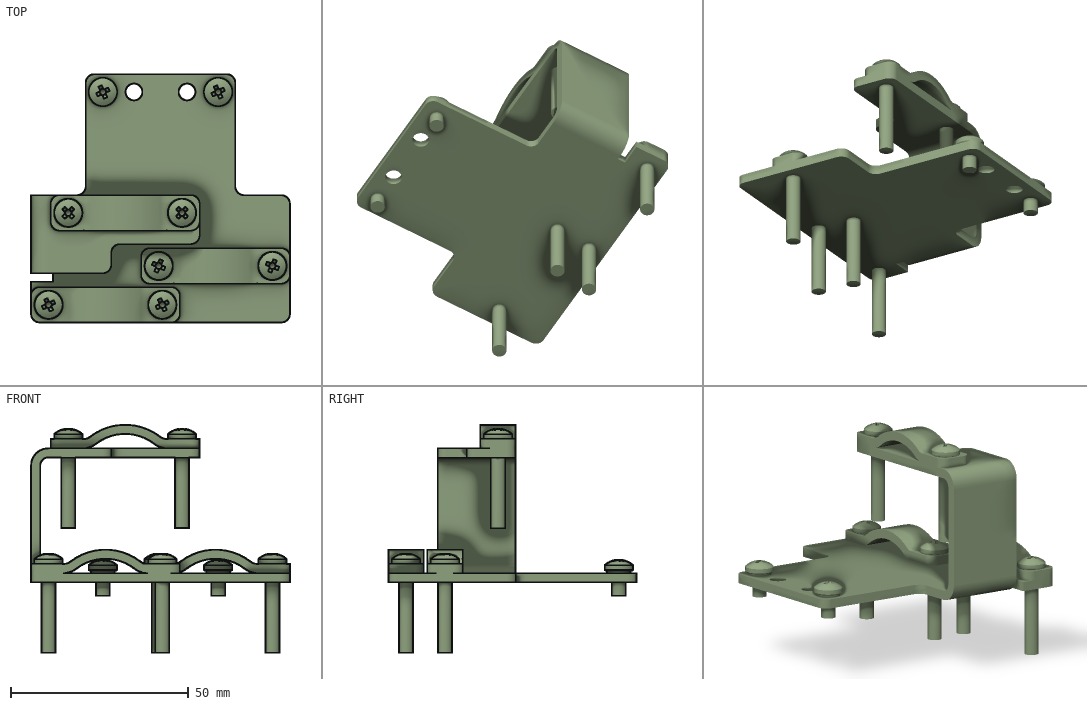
import cadquery as cq
import math

THICKNESS = 2.6
CORNER_R = 2.5
BEND_R = 4.9
BASE_LENGTH = 73.0
BASE_DEPTH = 35.9
TAB_WIDTH = 42.2
TOTAL_DEPTH = 70.0
UPRIGHT_Y = 13.9
UPPER_TOP = 37.8
UPPER_LENGTH = 47.5
UPPER_STEP_X = 22.6
UPPER_STEP_Y = 22.1
SLOT_Y = 11.5
SLOT_LENGTH = 6.2

REAR_ROW_Y = 65.0
REAR_SCREW_SPACING = 32.5
REAR_HOLE_SPACING = 15.0
REAR_HOLE_D = 4.7

CLAMP_LENGTH = 42.0
CLAMP_WIDTH = 10.0
PAD_LENGTH = 9.3
ARCH_RISE = 6.65
FOOT_R = 3.1
CLAMP_SCREW_INSET = 5.0

SHANK_D = 4.0
COLLAR_D = 6.7
COLLAR_HEIGHT = 0.65
HEAD_D = 8.0
HEAD_EDGE = 0.3
DOME_BASE = 2.5
HEAD_TOP = 3.8
HEAD_SINK = 0.9
LONG_SHANK = 24.2
SHORT_SHANK = 6.4

ARM_WIDTH = 1.0
ARM_REACH = 2.1
PIT_R = 0.9
ARM_DEPTH = 1.45
PIT_DEPTH = 2.05


def base_plate():
    mid_x = BASE_LENGTH / 2
    plate = (
        cq.Workplane("XY")
        .rect(BASE_LENGTH, BASE_DEPTH, centered=False)
        .extrude(THICKNESS)
        .edges("|Z").edges(">X or (<X and <Y)").fillet(CORNER_R)
    )
    tab = (
        cq.Workplane("XY")
        .center(mid_x, TOTAL_DEPTH / 2)
        .rect(TAB_WIDTH, TOTAL_DEPTH)
        .extrude(THICKNESS)
        .edges("|Z and >Y").fillet(CORNER_R)
    )
    inner_corners = cq.selectors.BoxSelector(
        (2 * CORNER_R, BASE_DEPTH - CORNER_R, -THICKNESS),
        (BASE_LENGTH - 2 * CORNER_R, BASE_DEPTH + CORNER_R, 2 * THICKNESS),
    )
    plate = plate.union(tab).edges("|Z").edges(inner_corners).fillet(CORNER_R)
    slot = (
        cq.Workplane("XY")
        .center(0, SLOT_Y)
        .rect(SLOT_LENGTH, UPRIGHT_Y - SLOT_Y, centered=False)
        .extrude(THICKNESS)
    )
    bend_strip = (
        cq.Workplane("XY")
        .center(0, UPRIGHT_Y)
        .rect(BEND_R, BASE_DEPTH - UPRIGHT_Y, centered=False)
        .extrude(THICKNESS)
    )
    holes = (
        cq.Workplane("XY")
        .pushPoints([(mid_x + side * REAR_HOLE_SPACING / 2, REAR_ROW_Y) for side in (-1, 1)])
        .circle(REAR_HOLE_D / 2)
        .extrude(THICKNESS)
    )
    return plate.cut(slot).cut(bend_strip).cut(holes)


def upright():
    """C-shaped strip: lower bend, vertical wall and upper bend, ending at the flat plates."""
    outer = (
        cq.Workplane("XZ", origin=(0, BASE_DEPTH, 0))
        .rect(2 * BEND_R, UPPER_TOP, centered=False)
        .extrude(BASE_DEPTH - UPRIGHT_Y)
        .edges("|Y and <X").fillet(BEND_R)
    )
    inner = (
        cq.Workplane("XZ", origin=(THICKNESS, BASE_DEPTH, THICKNESS))
        .rect(2 * BEND_R, UPPER_TOP - 2 * THICKNESS, centered=False)
        .extrude(BASE_DEPTH - UPRIGHT_Y)
        .edges("|Y and <X").fillet(BEND_R - THICKNESS)
    )
    return outer.cut(inner)


def upper_plate():
    return (
        cq.Workplane("XY", origin=(0, 0, UPPER_TOP - THICKNESS))
        .moveTo(BEND_R, UPRIGHT_Y)
        .lineTo(UPPER_STEP_X, UPRIGHT_Y)
        .lineTo(UPPER_STEP_X, UPPER_STEP_Y)
        .lineTo(UPPER_LENGTH, UPPER_STEP_Y)
        .lineTo(UPPER_LENGTH, BASE_DEPTH)
        .lineTo(BEND_R, BASE_DEPTH)
        .close()
        .extrude(THICKNESS)
        .edges("|Z and (not <X)").fillet(CORNER_R)
    )


def clamp():
    """Strap with a flat pad at each end and an arch between; front left corner at the origin."""
    mid_x = CLAMP_LENGTH / 2
    half_gap = mid_x - PAD_LENGTH
    arch_height = ARCH_RISE - THICKNESS
    centre_distance = (half_gap**2 + arch_height**2) / (2 * arch_height)
    foot_angle = math.asin(half_gap / centre_distance)

    def foot_bend(foot_r, pad_z):
        """Foot bend's middle and end, as offsets from the arch centre line."""
        points = []
        for angle in (foot_angle / 2, foot_angle):
            offset = half_gap - foot_r * math.sin(angle)
            points.append((offset, pad_z + foot_r * (1 - math.cos(angle))))
        return points

    top_mid, top_end = foot_bend(FOOT_R, THICKNESS)
    low_mid, low_end = foot_bend(FOOT_R + THICKNESS, 0)

    def at(sign, point):
        return (mid_x + sign * point[0], point[1])

    strap = (
        cq.Workplane("XZ")
        .moveTo(0, 0)
        .lineTo(PAD_LENGTH, 0)
        .threePointArc(at(-1, low_mid), at(-1, low_end))
        .threePointArc((mid_x, ARCH_RISE - THICKNESS), at(1, low_end))
        .threePointArc(at(1, low_mid), (CLAMP_LENGTH - PAD_LENGTH, 0))
        .lineTo(CLAMP_LENGTH, 0)
        .lineTo(CLAMP_LENGTH, THICKNESS)
        .lineTo(CLAMP_LENGTH - PAD_LENGTH, THICKNESS)
        .threePointArc(at(1, top_mid), at(1, top_end))
        .threePointArc((mid_x, ARCH_RISE), at(-1, top_end))
        .threePointArc(at(-1, top_mid), (PAD_LENGTH, THICKNESS))
        .lineTo(0, THICKNESS)
        .close()
        .extrude(-CLAMP_WIDTH)
    )
    return strap.edges("|Z and (<X or >X)").fillet(CORNER_R)


def cross_recess():
    """Cutter for the cross recess: two tapered blades over a conical pit."""
    blade = (
        cq.Workplane("XZ", origin=(0, ARM_WIDTH / 2, HEAD_TOP))
        .polyline([(-ARM_REACH, 0), (ARM_REACH, 0), (PIT_R, -ARM_DEPTH), (-PIT_R, -ARM_DEPTH)])
        .close()
        .extrude(ARM_WIDTH)
    )
    pit = (
        cq.Workplane("XZ", origin=(0, 0, HEAD_TOP))
        .polyline([(0, 0), (PIT_R, 0), (PIT_R, -ARM_DEPTH), (0, -PIT_DEPTH)])
        .close()
        .revolve(360, (0, 0, 0), (0, 1, 0))
    )
    return blade.union(blade.rotate((0, 0, 0), (0, 0, 1), 90)).union(pit)


def screw(shank_length, recess_angle):
    """Screw along Z with the collar underside at Z = 0."""
    shank_r = SHANK_D / 2
    collar_r = COLLAR_D / 2
    head_r = HEAD_D / 2
    rim_edge_r = head_r - HEAD_EDGE
    dome_rise = HEAD_TOP - DOME_BASE
    dome_r = (rim_edge_r**2 + dome_rise**2) / (2 * dome_rise)
    dome_mid_x = rim_edge_r / 2
    dome_mid_z = HEAD_TOP - dome_r + math.sqrt(dome_r**2 - dome_mid_x**2)
    body = (
        cq.Workplane("XZ")
        .moveTo(0, -shank_length)
        .lineTo(shank_r, -shank_length)
        .lineTo(shank_r, 0)
        .lineTo(collar_r, 0)
        .lineTo(collar_r, COLLAR_HEIGHT)
        .lineTo(rim_edge_r, COLLAR_HEIGHT)
        .lineTo(head_r, COLLAR_HEIGHT + HEAD_EDGE)
        .lineTo(head_r, DOME_BASE - HEAD_EDGE)
        .lineTo(rim_edge_r, DOME_BASE)
        .threePointArc((dome_mid_x, dome_mid_z), (0, HEAD_TOP))
        .close()
        .revolve(360, (0, 0, 0), (0, 1, 0))
    )
    return body.cut(cross_recess().rotate((0, 0, 0), (0, 0, 1), recess_angle))


def clamp_with_screws(x, y, seat_z, recess_angle):
    assembly = clamp()
    for screw_x in (CLAMP_SCREW_INSET, CLAMP_LENGTH - CLAMP_SCREW_INSET):
        seat = (screw_x, CLAMP_WIDTH / 2, THICKNESS - HEAD_SINK)
        assembly = assembly.union(screw(LONG_SHANK, recess_angle).translate(seat))
    return assembly.translate((x, y, seat_z))


CLAMPS = [
    (0, 0, THICKNESS, 26),
    (BASE_LENGTH - CLAMP_LENGTH, 10.95, THICKNESS, 66),
    (UPPER_LENGTH - CLAMP_LENGTH, BASE_DEPTH - CLAMP_WIDTH, UPPER_TOP, 45),
]
REAR_RECESS_ANGLE = 25

result = base_plate().union(upright()).union(upper_plate())
for x, y, seat_z, recess_angle in CLAMPS:
    result = result.union(clamp_with_screws(x, y, seat_z, recess_angle))
for side in (-1, 1):
    seat = (BASE_LENGTH / 2 + side * REAR_SCREW_SPACING / 2, REAR_ROW_Y, THICKNESS)
    result = result.union(screw(SHORT_SHANK, REAR_RECESS_ANGLE).translate(seat))